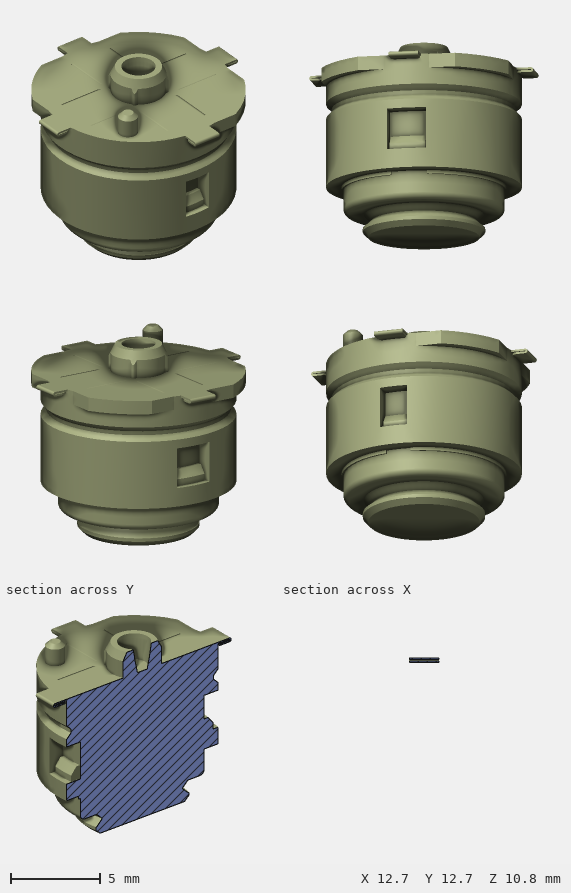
import cadquery as cq
import math

TOTAL_HEIGHT = 10.82
DECK_Z = 9.28

OVERLAP = 0.13

BODY_R = 5.46
BODY_BOTTOM_Z = 2.85
GROOVE_R = 5.15
GROOVE_FLAT_BOTTOM_Z = 7.05
GROOVE_FLAT_TOP_Z = 7.28
BARREL_R = 4.5
BARREL_BOTTOM_Z = 1.27
BARREL_FILLET = 0.34
NECK_R = 2.96
NECK_Z = 0.89
COLLAR_R = 3.42
COLLAR_TOP_Z = 0.5
COLLAR_CHAMFER = 0.3
SHOULDER_R = 4.61
SHOULDER_HEIGHT = 0.19

PAD_R = 5.98
PAD_HALF_WIDTH = 5.31
PAD_HEIGHT = 0.77

WINDOW_BOTTOM_Z = 3.92
WINDOW_TOP_Z = 6.24
WINDOW_FLOOR_R = BARREL_R
LEFT_WINDOW_HALF_WIDTH = 1.1
RIGHT_WINDOW_HALF_WIDTH = 0.8
RIB_SIDE_GAP = 0.09
RIB_R = 5.1
RIB_HEIGHT = 0.85
RIB_CHAMFER = 0.35
RIB_CHAMFER_HEIGHT = 0.46

BLADE_TIP_X = 6.35
BLADE_HALF_WIDTH = 0.84
SHEET = 0.11
FOLD_GAP = 0.04
FOLD_END_X = 5.33
FOLD_END_FILLET = 0.43
FOLD_HEIGHT = 2 * SHEET + FOLD_GAP

ROLL_INNER_Y = 1.25
ROLL_OUTER_Y = 1.38
ROLL_R = 0.25
ROLL_END_X = 4.37
ROLL_MITER_OFFSET = 0.42

BOSS_R = 1.56
BOSS_TOP_R = 1.32
BOSS_CONE_HEIGHT = 0.5
LUG_HALF_WIDTH = 1.23
LUG_FILLET = 0.13
BORE_TOP_R = 0.95
BORE_BOTTOM_R = 0.79

PIN_X = 3.14
PIN_Y = -3.14
PIN_R = 0.56
PIN_TOP_Z = 10.57
PIN_CHAMFER = 0.24


def revolve_profile(points):
    """Turn a closed (radius, z) outline around the Z axis."""
    return cq.Workplane("XZ").polyline(points).close().revolve(360, (0, 0, 0), (0, 1, 0))


def ring(outer_r, inner_r, bottom_z, top_z):
    return (
        cq.Workplane("XY").workplane(offset=bottom_z)
        .circle(outer_r).circle(inner_r).extrude(top_z - bottom_z)
    )


def side_block(half_width, bottom_z, top_z):
    """Block from the axis out well past the body on the +X side."""
    return (
        cq.Workplane("XY").workplane(offset=bottom_z)
        .rect(2 * BODY_R, 2 * half_width).extrude(top_z - bottom_z)
        .translate((BODY_R, 0, 0))
    )


def turn(shape, angle):
    return shape.rotate((0, 0, 0), (0, 0, 1), angle)


def make_body():
    groove_depth = BODY_R - GROOVE_R
    neck_top_r = NECK_R + BARREL_BOTTOM_Z - NECK_Z
    neck_bottom_r = NECK_R + NECK_Z - COLLAR_TOP_Z
    fillet_mid = BARREL_FILLET * (1 - math.sqrt(0.5))
    return (
        cq.Workplane("XZ")
        .moveTo(0, 0)
        .lineTo(COLLAR_R - COLLAR_CHAMFER, 0)
        .lineTo(COLLAR_R, COLLAR_CHAMFER)
        .lineTo(COLLAR_R, COLLAR_TOP_Z)
        .lineTo(neck_bottom_r, COLLAR_TOP_Z)
        .lineTo(NECK_R, NECK_Z)
        .lineTo(neck_top_r, BARREL_BOTTOM_Z)
        .lineTo(BARREL_R - BARREL_FILLET, BARREL_BOTTOM_Z)
        .threePointArc(
            (BARREL_R - fillet_mid, BARREL_BOTTOM_Z + fillet_mid),
            (BARREL_R, BARREL_BOTTOM_Z + BARREL_FILLET),
        )
        .lineTo(BARREL_R, BODY_BOTTOM_Z)
        .lineTo(BODY_R, BODY_BOTTOM_Z)
        .lineTo(BODY_R, GROOVE_FLAT_BOTTOM_Z - groove_depth)
        .lineTo(GROOVE_R, GROOVE_FLAT_BOTTOM_Z)
        .lineTo(GROOVE_R, GROOVE_FLAT_TOP_Z)
        .lineTo(BODY_R, GROOVE_FLAT_TOP_Z + groove_depth)
        .lineTo(BODY_R, DECK_Z)
        .lineTo(0, DECK_Z)
        .close()
        .revolve(360, (0, 0, 0), (0, 1, 0))
    )


def make_pads():
    """Square-sided flange on three corners; the pin corner stays round."""
    pad_bottom_z = DECK_Z - PAD_HEIGHT
    flange = cq.Workplane("XY").workplane(offset=pad_bottom_z).circle(PAD_R).extrude(PAD_HEIGHT)
    square = (
        cq.Workplane("XY").workplane(offset=pad_bottom_z)
        .rect(2 * PAD_HALF_WIDTH, 2 * PAD_HALF_WIDTH).extrude(PAD_HEIGHT)
    )
    pin_corner = (
        cq.Workplane("XY").workplane(offset=pad_bottom_z)
        .rect(PAD_R, -PAD_R, centered=False).extrude(PAD_HEIGHT)
    )
    return flange.intersect(square).cut(pin_corner)


def make_window_cut(half_width):
    shell = ring(BODY_R + OVERLAP, WINDOW_FLOOR_R, WINDOW_BOTTOM_Z, WINDOW_TOP_Z)
    return shell.intersect(side_block(half_width, WINDOW_BOTTOM_Z, WINDOW_TOP_Z))


def make_window_rib(half_width):
    """Chamfered latch rib standing on the window floor."""
    rib_top_z = WINDOW_BOTTOM_Z + RIB_HEIGHT
    inner_r = WINDOW_FLOOR_R - OVERLAP
    rib = revolve_profile([
        (inner_r, WINDOW_BOTTOM_Z),
        (RIB_R, WINDOW_BOTTOM_Z),
        (RIB_R, rib_top_z - RIB_CHAMFER_HEIGHT),
        (RIB_R - RIB_CHAMFER, rib_top_z),
        (inner_r, rib_top_z),
    ])
    return rib.intersect(side_block(half_width, WINDOW_BOTTOM_Z, rib_top_z))


def make_blade():
    """One folded contact blade pointing along +X."""
    start_x = BOSS_R
    fold_r = FOLD_HEIGHT / 2
    bend_x = BLADE_TIP_X - fold_r
    bottom_z = DECK_Z - FOLD_HEIGHT
    section = (
        cq.Workplane("XZ")
        .moveTo(start_x, DECK_Z)
        .lineTo(bend_x, DECK_Z)
        .threePointArc((BLADE_TIP_X, DECK_Z - fold_r), (bend_x, bottom_z))
        .lineTo(FOLD_END_X, bottom_z)
        .lineTo(FOLD_END_X, bottom_z + SHEET)
        .lineTo(bend_x, bottom_z + SHEET)
        .threePointArc((bend_x + FOLD_GAP / 2, DECK_Z - fold_r), (bend_x, DECK_Z - SHEET))
        .lineTo(start_x, DECK_Z - SHEET)
        .close()
        .extrude(BLADE_HALF_WIDTH, both=True)
    )
    around_fold_end = cq.selectors.BoxSelector(
        (FOLD_END_X - OVERLAP, -BODY_R, bottom_z),
        (FOLD_END_X + OVERLAP, BODY_R, DECK_Z),
    )
    return section.edges("|Z").edges(around_fold_end).fillet(FOLD_END_FILLET)


def make_rolled_edge_cut():
    """Sliver above the rolled-down side edge of a contact along +X."""
    width = ROLL_OUTER_Y - ROLL_INNER_Y
    half_angle = math.asin(width / ROLL_R) / 2
    center_z = DECK_Z - ROLL_R
    mid = (ROLL_INNER_Y + ROLL_R * math.sin(half_angle), center_z + ROLL_R * math.cos(half_angle))
    end = (ROLL_OUTER_Y, center_z + ROLL_R * math.cos(2 * half_angle))
    sliver = (
        cq.Workplane("YZ")
        .moveTo(ROLL_INNER_Y, DECK_Z)
        .threePointArc(mid, end)
        .lineTo(ROLL_OUTER_Y, DECK_Z)
        .close()
        .extrude(ROLL_END_X)
    )
    miter = (
        cq.Workplane("XY").workplane(offset=DECK_Z - ROLL_R)
        .polyline([
            (ROLL_INNER_Y + ROLL_MITER_OFFSET, ROLL_INNER_Y),
            (ROLL_OUTER_Y + ROLL_MITER_OFFSET, ROLL_OUTER_Y),
            (ROLL_END_X, ROLL_OUTER_Y),
            (ROLL_END_X, ROLL_INNER_Y),
        ])
        .close()
        .extrude(ROLL_R)
    )
    return sliver.intersect(miter)


def make_boss():
    """Round boss with four corner lugs, all trimmed by one cone."""
    height = TOTAL_HEIGHT - DECK_Z
    cone_slope = (BOSS_R - BOSS_TOP_R) / BOSS_CONE_HEIGHT
    cone = revolve_profile([
        (0, DECK_Z),
        (BOSS_TOP_R + cone_slope * height, DECK_Z),
        (BOSS_TOP_R, TOTAL_HEIGHT),
        (0, TOTAL_HEIGHT),
    ])
    lugs = (
        cq.Workplane("XY").workplane(offset=DECK_Z)
        .rect(2 * LUG_HALF_WIDTH, 2 * LUG_HALF_WIDTH).extrude(height)
        .edges("|Z").fillet(LUG_FILLET)
    )
    round_part = cq.Workplane("XY").workplane(offset=DECK_Z).circle(BOSS_R).extrude(height)
    return round_part.union(lugs).intersect(cone)


def make_bore():
    """Tapered blind bore reaching down to deck level."""
    return revolve_profile([
        (0, DECK_Z),
        (BORE_BOTTOM_R, DECK_Z),
        (BORE_TOP_R, TOTAL_HEIGHT),
        (0, TOTAL_HEIGHT),
    ])


def make_pin():
    return (
        cq.Workplane("XY").workplane(offset=DECK_Z).center(PIN_X, PIN_Y)
        .circle(PIN_R).extrude(PIN_TOP_Z - DECK_Z)
        .faces(">Z").chamfer(PIN_CHAMFER)
    )


result = make_body().union(make_pads())

shoulder_bottom_z = BODY_BOTTOM_Z - SHOULDER_HEIGHT
shoulder = ring(SHOULDER_R, BARREL_R - OVERLAP, shoulder_bottom_z, BODY_BOTTOM_Z)

for half_width, angle in ((LEFT_WINDOW_HALF_WIDTH, 180), (RIGHT_WINDOW_HALF_WIDTH, 0)):
    rib_half_width = half_width - RIB_SIDE_GAP
    result = result.cut(turn(make_window_cut(half_width), angle))
    result = result.union(turn(make_window_rib(rib_half_width), angle))
    shoulder = shoulder.cut(turn(side_block(rib_half_width, shoulder_bottom_z, BODY_BOTTOM_Z), angle))
result = result.union(shoulder)

for angle in (0, 90, 180, 270):
    result = result.union(turn(make_blade(), angle))
    rolled_edge = make_rolled_edge_cut()
    result = result.cut(turn(rolled_edge, angle))
    result = result.cut(turn(rolled_edge.mirror("XZ"), angle))

result = result.union(make_boss()).cut(make_bore()).union(make_pin())